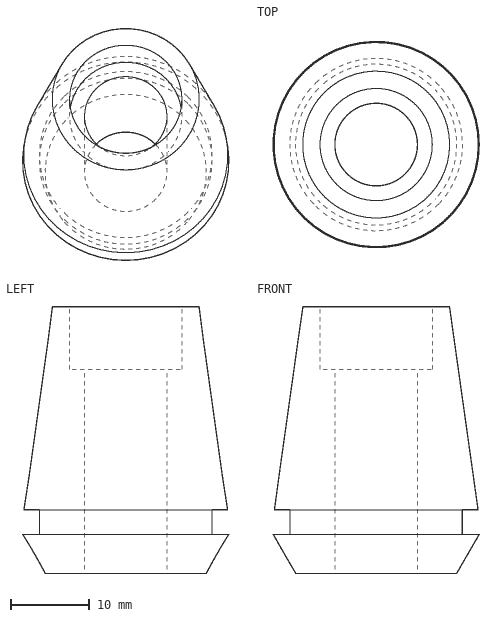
import cadquery as cq
import math

total_height = 34.0
collar_height = 5.0
groove_width = 3.1

collar_diameter = 26.3
collar_half_angle = 30.0
cone_base_diameter = 26.0
cone_half_angle = 8.0
groove_diameter = 22.0

bore_diameter = 10.5
counterbore_diameter = 14.3
counterbore_depth = 8.0

cone_base_z = collar_height + groove_width
cone_height = total_height - cone_base_z
counterbore_floor_z = total_height - counterbore_depth
collar_radius = collar_diameter / 2
cone_base_radius = cone_base_diameter / 2
groove_radius = groove_diameter / 2
bore_radius = bore_diameter / 2
counterbore_radius = counterbore_diameter / 2
collar_bottom_radius = collar_radius - collar_height * math.tan(math.radians(collar_half_angle))
cone_top_radius = cone_base_radius - cone_height * math.tan(math.radians(cone_half_angle))


def make_collet():
    """Revolve the half section about Z: points are (radius, height)."""
    half_section = (
        cq.Workplane("XZ")
        .moveTo(bore_radius, 0)
        .lineTo(collar_bottom_radius, 0)
        .lineTo(collar_radius, collar_height)
        .lineTo(groove_radius, collar_height)
        .lineTo(groove_radius, cone_base_z)
        .lineTo(cone_base_radius, cone_base_z)
        .lineTo(cone_top_radius, total_height)
        .lineTo(counterbore_radius, total_height)
        .lineTo(counterbore_radius, counterbore_floor_z)
        .lineTo(bore_radius, counterbore_floor_z)
        .close()
    )
    return half_section.revolve(360, (0, 0, 0), (0, 1, 0))


result = make_collet()